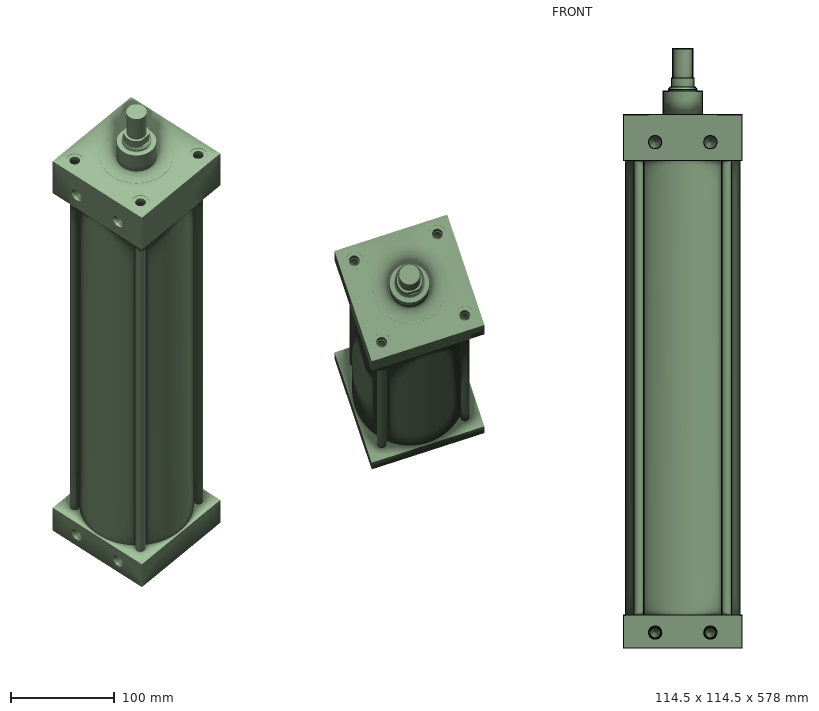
import cadquery as cq
import math


TOTAL_LENGTH = 578.0
PLATE_SIDE = 114.5

CAP_TOP = 32.0
HEAD_BOTTOM = 470.0
HEAD_TOP = 514.0
COLLAR_TOP = 537.0

BARREL_RADIUS = 55.5
TIE_ROD_RADIUS = 4.5
TIE_ROD_OFFSET = 42.0
TIE_ROD_CENTRES = [
    (x, y)
    for x in (-TIE_ROD_OFFSET, TIE_ROD_OFFSET)
    for y in (-TIE_ROD_OFFSET, TIE_ROD_OFFSET)
]

BOSS_RADIUS = 34.5
BOSS_HEIGHT = 0.3
COLLAR_RADIUS = 19.0

SPOTFACE_RADIUS = 8.5
SPOTFACE_DEPTH = 0.5
SCREW_HOLE_RADIUS = 5.0
SCREW_HOLE_DEPTH = 11.5
SCREW_DRILL_RADIUS = 4.0
SCREW_DRILL_DEPTH = 17.5

MOUNT_HOLE_RADIUS = 6.5
MOUNT_HOLE_OFFSET = 26.5
MOUNT_HOLE_DEPTH = 11.5
MOUNT_DRILL_RADIUS = 5.0
MOUNT_DRILL_DEPTH = 14.5
HEAD_MOUNT_HEIGHT = 487.5
CAP_MOUNT_HEIGHT = 15.0

DRILL_POINT_SLOPE = math.tan(math.radians(31))

ROD_RADIUS = 14.0
NECK_RADIUS = 12.0
STUD_RADIUS = 10.0
CHAMFER_BOTTOM = 538.5
NECK_BOTTOM = 541.0
NECK_TOP = 549.5
FLAT_OFFSET = 11.0


def cylinder(radius, bottom, top):
    return cq.Workplane("XY").workplane(offset=bottom).circle(radius).extrude(top - bottom)


def drilled_hole(radius, depth, mouth, direction):
    """Blind hole with a drill point, starting at mouth."""
    bore = cq.Solid.makeCylinder(radius, depth, mouth, direction)
    point_height = radius * DRILL_POINT_SLOPE
    point = cq.Solid.makeCone(radius, 0, point_height, mouth + direction * depth, direction)
    return bore.fuse(point)


def stepped_hole(radius, depth, drill_radius, drill_depth, mouth, direction):
    """Blind hole whose lower end narrows to a smaller drilled hole."""
    bore = cq.Solid.makeCylinder(radius, depth, mouth, direction)
    return bore.fuse(drilled_hole(drill_radius, drill_depth, mouth, direction))


def make_plate(bottom, top):
    return cq.Workplane("XY").workplane(offset=bottom).rect(PLATE_SIDE, PLATE_SIDE).extrude(top - bottom)


def mount_hole_mouths(height):
    return [cq.Vector(x, -PLATE_SIDE / 2, height) for x in (-MOUNT_HOLE_OFFSET, MOUNT_HOLE_OFFSET)]


def make_cap():
    cap = make_plate(0, CAP_TOP)
    for mouth in mount_hole_mouths(CAP_MOUNT_HEIGHT):
        hole = stepped_hole(
            MOUNT_HOLE_RADIUS, MOUNT_HOLE_DEPTH, MOUNT_DRILL_RADIUS, MOUNT_DRILL_DEPTH,
            mouth, cq.Vector(0, 1, 0),
        )
        cap = cap.cut(cq.Workplane(obj=hole))
    return cap


def make_barrel():
    """Barrel and the four tie rods that run into its wall."""
    barrel = cylinder(BARREL_RADIUS, CAP_TOP, HEAD_BOTTOM)
    for x, y in TIE_ROD_CENTRES:
        tie_rod = cylinder(TIE_ROD_RADIUS, CAP_TOP, HEAD_BOTTOM).translate((x, y, 0))
        barrel = barrel.union(tie_rod)
    return barrel


def make_head():
    head = make_plate(HEAD_BOTTOM, HEAD_TOP)
    head = head.union(cylinder(BOSS_RADIUS, HEAD_TOP, HEAD_TOP + BOSS_HEIGHT))
    head = head.union(cylinder(COLLAR_RADIUS, HEAD_TOP, COLLAR_TOP))
    head = head.cut(cylinder(ROD_RADIUS, HEAD_BOTTOM, COLLAR_TOP))

    for mouth in mount_hole_mouths(HEAD_MOUNT_HEIGHT):
        hole = drilled_hole(MOUNT_HOLE_RADIUS, MOUNT_DRILL_DEPTH, mouth, cq.Vector(0, 1, 0))
        head = head.cut(cq.Workplane(obj=hole))

    for x, y in TIE_ROD_CENTRES:
        spotface = cylinder(SPOTFACE_RADIUS, HEAD_TOP - SPOTFACE_DEPTH, HEAD_TOP).translate((x, y, 0))
        hole = stepped_hole(
            SCREW_HOLE_RADIUS, SCREW_HOLE_DEPTH, SCREW_DRILL_RADIUS, SCREW_DRILL_DEPTH,
            cq.Vector(x, y, HEAD_TOP), cq.Vector(0, 0, -1),
        )
        head = head.cut(spotface).cut(cq.Workplane(obj=hole))
    return head


def make_piston_rod():
    """Turned rod with a chamfered shoulder, a neck with two wrench flats and an end stud."""
    rod = (
        cq.Workplane("XZ")
        .moveTo(0, HEAD_BOTTOM)
        .lineTo(ROD_RADIUS, HEAD_BOTTOM)
        .lineTo(ROD_RADIUS, CHAMFER_BOTTOM)
        .lineTo(NECK_RADIUS, NECK_BOTTOM)
        .lineTo(NECK_RADIUS, NECK_TOP)
        .lineTo(STUD_RADIUS, NECK_TOP)
        .lineTo(STUD_RADIUS, TOTAL_LENGTH)
        .lineTo(0, TOTAL_LENGTH)
        .close()
        .revolve(360, (0, 0), (0, 1))
    )
    flat_cutter = cq.Workplane("XY").box(
        NECK_RADIUS, 2 * NECK_RADIUS, NECK_TOP - NECK_BOTTOM, centered=(False, True, False)
    ).translate((FLAT_OFFSET, 0, NECK_BOTTOM))
    return rod.cut(flat_cutter).cut(flat_cutter.mirror("YZ"))


cap = make_cap()
barrel = make_barrel()
head = make_head()
piston_rod = make_piston_rod()

bodies = [cap, barrel, head, piston_rod]
result = cq.Compound.makeCompound([body.solids().val() for body in bodies])